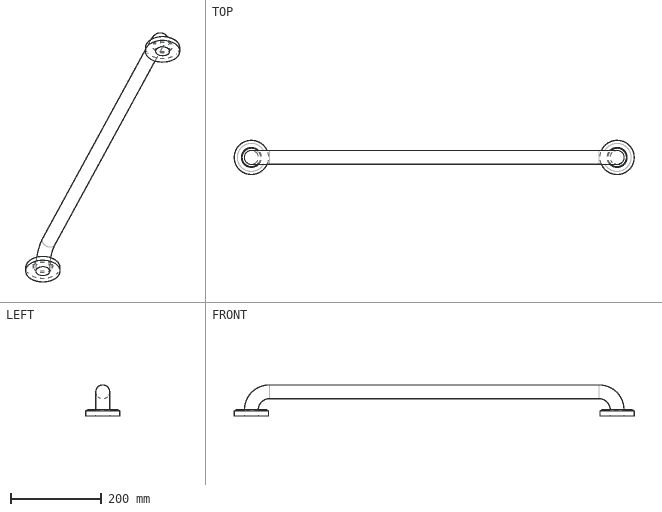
import cadquery as cq
import math

overall_length = 889.0
overall_height = 69.0

flange_diameter = 76.5
flange_height = 14.0
rim_rounding_width = 7.0
rim_rounding_height = 4.0
recess_diameter = 44.5
recess_floor_diameter = 41.0
recess_depth = 2.0

bar_diameter = 31.0
bend_radius = 40.0

flange_radius = flange_diameter / 2
rim_arc_radius = (rim_rounding_width**2 + rim_rounding_height**2) / (2 * rim_rounding_height)
recess_floor_height = flange_height - recess_depth
bar_radius = bar_diameter / 2
leg_offset = overall_length / 2 - flange_radius
bar_axis_height = overall_height - bar_radius
bend_start_height = bar_axis_height - bend_radius
straight_half_length = leg_offset - bend_radius


def make_bar():
    """Round bar with a quarter bend down to the wall at each end."""
    bend_centre_drop = bend_radius * (1 - math.cos(math.radians(45)))
    bend_middle_x = leg_offset - bend_centre_drop
    bend_middle_z = bar_axis_height - bend_centre_drop
    path = (
        cq.Workplane("XZ")
        .moveTo(-leg_offset, 0)
        .lineTo(-leg_offset, bend_start_height)
        .threePointArc((-bend_middle_x, bend_middle_z), (-straight_half_length, bar_axis_height))
        .lineTo(straight_half_length, bar_axis_height)
        .threePointArc((bend_middle_x, bend_middle_z), (leg_offset, bend_start_height))
        .lineTo(leg_offset, 0)
    )
    return cq.Workplane("XY").center(-leg_offset, 0).circle(bar_radius).sweep(path)


def make_flange(x):
    """Disc with a rounded rim and a shallow tapered recess around the hole that the bar passes through."""
    section = (
        cq.Workplane("XZ")
        .moveTo(bar_radius, 0)
        .lineTo(flange_radius, 0)
        .lineTo(flange_radius, flange_height - rim_rounding_height)
        .radiusArc((flange_radius - rim_rounding_width, flange_height), -rim_arc_radius)
        .lineTo(recess_diameter / 2, flange_height)
        .lineTo(recess_floor_diameter / 2, recess_floor_height)
        .lineTo(bar_radius, recess_floor_height)
        .close()
    )
    return section.revolve(360, (0, 0, 0), (0, 1, 0)).translate((x, 0, 0))


bar = make_bar()
flanges = [make_flange(x) for x in (-leg_offset, leg_offset)]

result = cq.Compound.makeCompound([bar.val(), *[flange.val() for flange in flanges]])